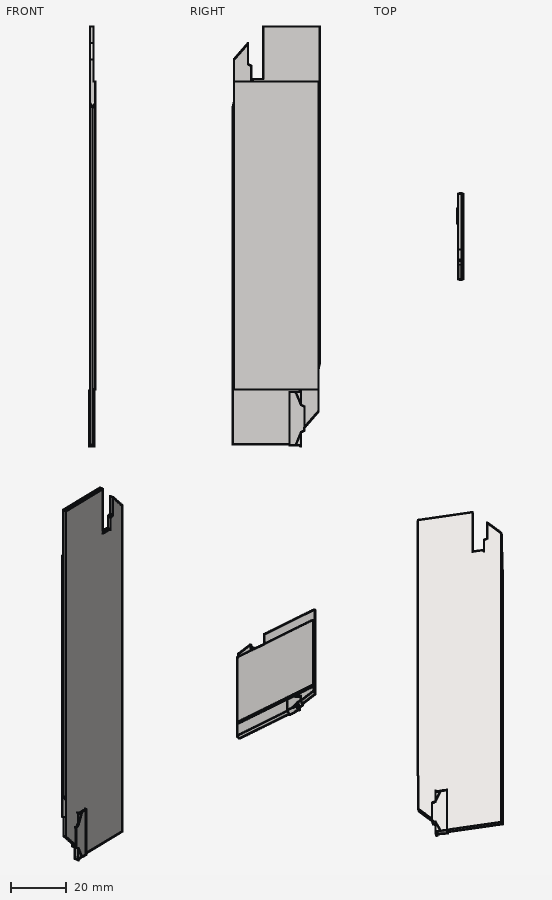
import cadquery as cq

blade_height = 150.0
blade_width = 31.4
blade_thickness = 2.0
ridge_height = 0.5
end_relief_length = 19.8
end_relief_depth = 0.6
flush_length = 27.3
ramp_length = 2.0

pocket_wall = 20.4
pocket_depth = 18.8
jaw_shoulder = 24.6
jaw_seat = 25.8
shoulder_depth = 14.2
seat_depth = 13.5
jaw_tip_depth = 6.0
jaw_corner_depth = 11.9

insert_overhang = 0.3
horn_height = 0.5
horn_width = 0.6
end_projection = 0.3
facet_width = 2.0
facet_depth = 0.2

half_height = blade_height / 2
half_width = blade_width / 2
jaw_outer = blade_width - ridge_height
tip_thickness = blade_thickness - end_relief_depth
insert_thickness = tip_thickness + 2 * insert_overhang
insert_half_length = (pocket_depth + end_projection) / 2
insert_middle_depth = (pocket_depth - end_projection) / 2
shoulder_level = shoulder_depth - insert_middle_depth
seat_level = seat_depth - insert_middle_depth


def across(distance):
    """Y of a point at a distance from the +Y edge."""
    return half_width - distance


def below_end(depth):
    """Z of a point at a depth below the upper blade end."""
    return half_height - depth


def end_cutter():
    """Pocket, jaw and flush outer edge at the upper end."""
    margin = 1.5
    points = [
        (across(pocket_wall), below_end(-margin)),
        (across(pocket_wall), below_end(pocket_depth)),
        (across(jaw_shoulder - horn_width), below_end(pocket_depth)),
        (across(jaw_shoulder), below_end(pocket_depth + horn_height)),
        (across(jaw_shoulder), below_end(shoulder_depth)),
        (across(jaw_seat), below_end(seat_depth)),
        (across(jaw_seat), below_end(jaw_tip_depth)),
        (across(jaw_outer), below_end(jaw_corner_depth)),
        (across(jaw_outer), below_end(flush_length)),
        (across(blade_width), below_end(flush_length + ramp_length)),
        (across(blade_width + margin), below_end(flush_length + ramp_length)),
        (across(blade_width + margin), below_end(-margin)),
    ]
    return cq.Workplane("YZ").polyline(points).close().extrude(blade_thickness)


def end_relief():
    """Slab that thins the +X face at the upper end."""
    return (
        cq.Workplane("XY")
        .box(end_relief_depth, blade_width, end_relief_length, centered=(False, True, False))
        .translate((tip_thickness, 0, half_height - end_relief_length))
    )


def half_turn(shape):
    """Copy of a shape turned half a turn about X, to the other end."""
    return shape.rotate((0, 0, 0), (1, 0, 0), 180)


def make_blade():
    face_edge = half_width - ridge_height
    middle = blade_thickness / 2
    section = [
        (0, -face_edge),
        (middle, -half_width),
        (blade_thickness, -face_edge),
        (blade_thickness, face_edge),
        (middle, half_width),
        (0, face_edge),
    ]
    blade = (
        cq.Workplane("XY")
        .workplane(offset=-half_height)
        .polyline(section)
        .close()
        .extrude(blade_height)
    )
    for feature in (end_cutter(), end_relief()):
        blade = blade.cut(feature).cut(half_turn(feature))
    return blade


def insert_outline():
    """Insert side shape, symmetric about its mid-height, with a horn at each cutting corner."""
    upper_half = [
        (across(pocket_wall), insert_half_length),
        (across(jaw_shoulder - horn_width), insert_half_length),
        (across(jaw_shoulder), insert_half_length + horn_height),
        (across(jaw_shoulder), shoulder_level),
        (across(jaw_seat), seat_level),
    ]
    lower_half = [(y, -z) for y, z in reversed(upper_half)]
    return upper_half + lower_half


def make_insert():
    """Double-ended insert, seated in the lower pocket."""
    insert = cq.Workplane("YZ").polyline(insert_outline()).close().extrude(insert_thickness)
    facet = (
        cq.Workplane("YZ")
        .polyline([
            (across(jaw_shoulder), shoulder_level),
            (across(jaw_shoulder), insert_half_length),
            (across(jaw_shoulder - facet_width), insert_half_length),
        ])
        .close()
        .extrude(facet_depth)
    )
    for end_facet in (facet, half_turn(facet.mirror("XZ"))):
        for side_x in (0, insert_thickness - facet_depth):
            insert = insert.cut(end_facet.translate((side_x, 0, 0)))
    insert = insert.translate((-insert_overhang, 0, below_end(insert_middle_depth)))
    return half_turn(insert)


blade = make_blade()
insert = make_insert()
result = cq.Compound.makeCompound([blade.val(), insert.val()])